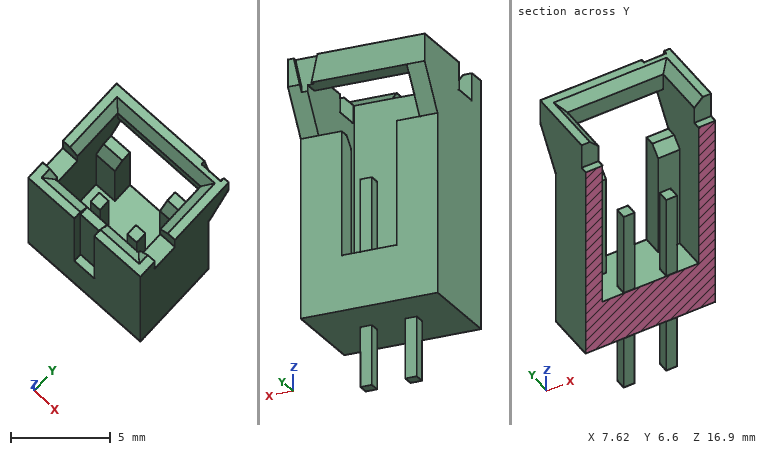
import cadquery as cq

total_height = 16.89
width = 7.62
depth = 6.6
pin_drop = 3.28
height = total_height - pin_drop

overhang = 1.5
flare_lip_height = 1.5
flare_height = 3.77
body_depth = depth - overhang
flare_base = height - flare_height

side_wall = 1.0
front_wall = 0.96
rear_wall = 1.01
bevel = 0.5
floor_thickness = 3.04
cavity_width = width - 2 * side_wall
cavity_depth = depth - front_wall - rear_wall

groove_width = 1.35
groove_depth = front_wall - bevel
groove_length = 8.9

notch_front = 1.08
notch_width = 1.5
notch_depth = 1.5

key_x = 2.82
key_top_width = 1.32
key_bottom_width = 0.66
key_depth = 0.22

rib_width = 1.28
rib_depth = 1.13
rib_bevel = 0.55

pin_size = 0.65
pin_pitch = 2.5
pin_y = 2.52
pin_rise = 5.07


def box_at(x_middle, y_start, z_start, x_size, y_size, z_size):
    """Box centred on x_middle, growing in +Y and +Z from its start corner."""
    box = cq.Workplane("XY").box(x_size, y_size, z_size, centered=(True, False, False))
    return box.translate((x_middle, y_start, z_start))


def housing():
    """Side profile with the flare, extruded across the width."""
    profile = [
        (0, 0),
        (body_depth, 0),
        (body_depth, flare_base),
        (depth, height - flare_lip_height),
        (depth, height),
        (0, height),
    ]
    return cq.Workplane("YZ").polyline(profile).close().extrude(width / 2, both=True)


def cavity():
    """Pocket with a bevelled mouth."""
    pocket = box_at(0, front_wall, floor_thickness, cavity_width, cavity_depth, height - floor_thickness)
    mouth = (
        cq.Workplane("XY", origin=(0, front_wall + cavity_depth / 2, height - bevel))
        .rect(cavity_width, cavity_depth)
        .workplane(offset=bevel)
        .rect(cavity_width + 2 * bevel, cavity_depth + 2 * bevel)
        .loft(ruled=True)
    )
    return pocket.union(mouth)


def rear_opening():
    """Window below the rear lip, between the side walls."""
    opening_height = height - flare_lip_height - floor_thickness
    return box_at(0, front_wall, floor_thickness, cavity_width, depth - front_wall, opening_height)


def front_groove():
    """Face groove, deepened through the whole wall beside the mouth bevel."""
    groove = box_at(0, 0, height - groove_length, groove_width, groove_depth, groove_length)
    gap = box_at(0, 0, height - bevel, groove_width, front_wall, bevel)
    return groove.union(gap)


def side_notches():
    """One bar that cuts both side walls."""
    return box_at(0, notch_front, height - notch_depth, width, notch_width, notch_depth)


def key_slot():
    """Slot that narrows down the rear lip, then runs straight out below it."""
    top_half = key_top_width / 2
    bottom_half = key_bottom_width / 2
    taper_end = height - flare_lip_height
    outline = [
        (key_x - top_half, height),
        (key_x + top_half, height),
        (key_x + bottom_half, taper_end),
        (key_x + bottom_half, flare_base),
        (key_x - bottom_half, flare_base),
        (key_x - bottom_half, taper_end),
    ]
    return cq.Workplane("XZ", origin=(0, depth, 0)).polyline(outline).close().extrude(key_depth)


def rear_rib(side):
    """Corner rib with its top front edge bevelled."""
    rib_x = side * (cavity_width - rib_width) / 2
    rib_height = flare_base - floor_thickness
    rib = box_at(rib_x, body_depth - rib_depth, floor_thickness, rib_width, rib_depth, rib_height)
    return rib.faces(">Z").edges("<Y").chamfer(rib_bevel)


def pin(side):
    """Square pin from below the housing up into the cavity."""
    return box_at(side * pin_pitch / 2, pin_y - pin_size / 2, -pin_drop, pin_size, pin_size,
                  pin_drop + floor_thickness + pin_rise)


result = housing()
for cutter in (cavity, rear_opening, front_groove, side_notches, key_slot):
    result = result.cut(cutter())
for side in (-1, 1):
    result = result.union(rear_rib(side)).union(pin(side))